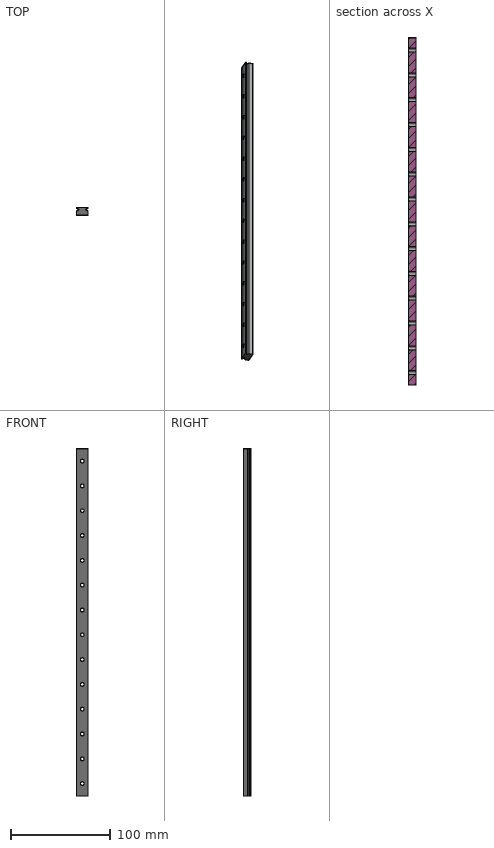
import cadquery as cq

RAIL_WIDTH = 12.0
RAIL_HEIGHT = 7.94
RAIL_LENGTH = 350.0
HEAD_CHAMFER = 0.4

GROOVE_DEPTH = 2.4
MOUTH_BOTTOM = 4.1
MOUTH_TOP = 7.0
FLOOR_BOTTOM = 5.6
FLOOR_TOP = 6.2

HOLE_DIAMETER = 3.5
HOLE_PITCH = 25.0
HOLE_COUNT = 14

HALF_WIDTH = RAIL_WIDTH / 2
END_DISTANCE = (RAIL_LENGTH - HOLE_PITCH * (HOLE_COUNT - 1)) / 2


def make_bar():
    """Bar standing along Z, with chamfered long edges on the head, away from the mounting face."""
    bar = cq.Workplane("XY").box(RAIL_WIDTH, RAIL_HEIGHT, RAIL_LENGTH, centered=(True, False, False))
    return bar.faces(">Y").edges("|Z").chamfer(HEAD_CHAMFER)


def make_groove(side):
    """Groove cutter for one long side; side is -1 or +1 along X."""
    mouth = side * HALF_WIDTH
    floor = side * (HALF_WIDTH - GROOVE_DEPTH)
    return (
        cq.Workplane("XY")
        .moveTo(mouth, MOUTH_BOTTOM)
        .lineTo(floor, FLOOR_BOTTOM)
        .lineTo(floor, FLOOR_TOP)
        .lineTo(mouth, MOUTH_TOP)
        .close()
        .extrude(RAIL_LENGTH)
    )


def make_holes():
    """Cutter for the row of mounting holes, evenly spaced along Z."""
    centres = [(0, END_DISTANCE + i * HOLE_PITCH) for i in range(HOLE_COUNT)]
    return cq.Workplane("XZ").pushPoints(centres).circle(HOLE_DIAMETER / 2).extrude(-RAIL_HEIGHT)


result = make_bar()
for side in (-1, 1):
    result = result.cut(make_groove(side))
result = result.cut(make_holes())